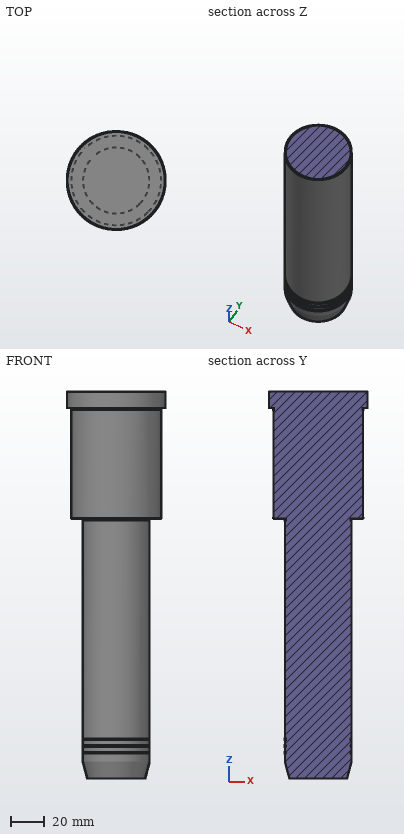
import cadquery as cq
import math

total_length = 231.0
head_height = 10.0
collar_height = 66.0
tip_height = 10.0

head_radius = 59.0 / 2
collar_radius = 54.0 / 2
shaft_radius = 40.0 / 2

tip_angle = 15.0
edge_break = 0.5

groove_count = 3
groove_width = 1.0
groove_depth = 0.5
groove_pitch = 4.0
lowest_groove_center = 15.5

relief_width = 1.0
relief_depth = 0.5

head_bottom = total_length - head_height
collar_bottom = head_bottom - collar_height
tip_radius = shaft_radius - tip_height * math.tan(math.radians(tip_angle))


def make_body():
    """Revolve the stepped half outline about Z, then round the lower end."""
    outline = [
        (0, 0),
        (tip_radius, 0),
        (shaft_radius, tip_height),
        (shaft_radius, collar_bottom - relief_width),
        (shaft_radius - relief_depth, collar_bottom - relief_width),
        (shaft_radius - relief_depth, collar_bottom),
        (collar_radius - edge_break, collar_bottom),
        (collar_radius, collar_bottom + edge_break),
        (collar_radius, head_bottom - relief_width),
        (collar_radius - relief_depth, head_bottom - relief_width),
        (collar_radius - relief_depth, head_bottom),
        (head_radius, head_bottom),
        (head_radius, total_length - edge_break),
        (head_radius - edge_break, total_length),
        (0, total_length),
    ]
    profile = cq.Workplane("XZ").polyline(outline).close()
    body = profile.revolve(360, (0, 0, 0), (0, 1, 0))
    return body.faces("<Z").edges().fillet(edge_break)


def make_groove(center_height):
    """Round-bottomed ring to remove from the shaft at the given height."""
    profile = (
        cq.Workplane("XZ")
        .moveTo(shaft_radius, center_height - groove_width / 2)
        .threePointArc(
            (shaft_radius - groove_depth, center_height),
            (shaft_radius, center_height + groove_width / 2),
        )
        .close()
    )
    return profile.revolve(360, (0, 0, 0), (0, 1, 0))


result = make_body()
for index in range(groove_count):
    result = result.cut(make_groove(lowest_groove_center + index * groove_pitch))